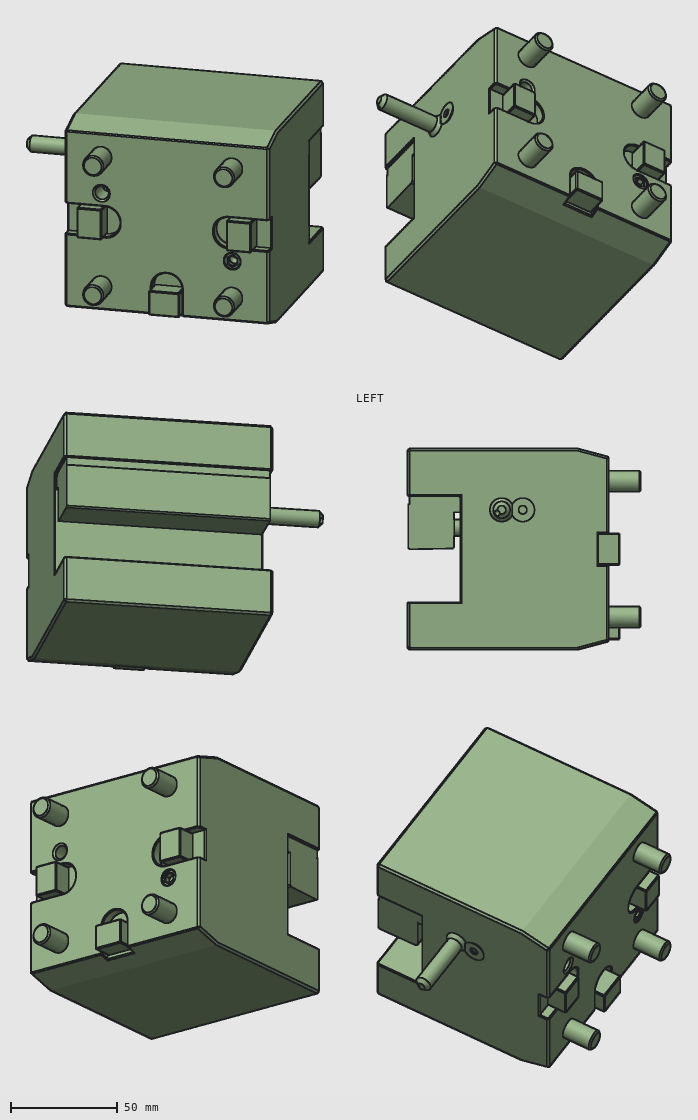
import cadquery as cq
import math

TOTAL_X = 132.3
BODY_X = 100.0
BODY_Y = 95.0
BODY_Z = 95.0
HALF_X = BODY_X / 2
HALF_Z = BODY_Z / 2
EDGE_CHAMFER = 1.0
FINE_CHAMFER = 0.5
SLOPE_DEPTH = 15.0
SLOPE_ANGLE = 15
SLOPE_DROP = SLOPE_DEPTH * math.tan(math.radians(SLOPE_ANGLE))
OVERLAP = 1.3
TOLERANCE = 0.01

SLOT_HEIGHT = 50.0
SLOT_DEPTH = 25.0
SLOT_TOP_Z = SLOT_HEIGHT / 2
SLOT_FLOOR_Y = BODY_Y - SLOT_DEPTH

JAW_SIDE_INSET = 1.2
JAW_LENGTH = BODY_X - 2 * JAW_SIDE_INSET
JAW_REAR_Y = 94.6
JAW_FRONT_Y = 72.9
JAW_REAR_BOTTOM_Z = -0.1
JAW_FRONT_BOTTOM_Z = 0.3
JAW_CHAMFER = 0.8
JAW_STEP = 0.5
JAW_STEP_Z = 21.2
LIP_BOTTOM_Z = 17.3
JAW_PIN_DIAMETER = 8
JAW_PIN_Z = 10.0

PIN_OFFSET = 32.0
PIN_DIAMETER = 10.0
PIN_LENGTH = 15.0
PIN_CHAMFER = 0.8

HOLE_Z = 14.0
MOUTH_DIAMETER = 8.5
HOLE_DIAMETER = 6.6
HOLE_DEPTH = 13.2
SCREW_RECESS = 0.4
SOCKET_ACROSS_FLATS = 4.5
SOCKET_CHAMFER = 0.4
SOCKET_DEPTH = 3.3
DRILL_TIP_ANGLE = 118

KEY_WIDTH = 15.0
KEY_LENGTH = 12.0
KEY_INNER_OFFSET = 30.6
KEY_HEIGHT = 5.0
POCKET_DEPTH = 5.0
POCKET_END_CENTRE = 30.5
KEY_TURNS = (0, 90, 180)

CABLE_Y = 50.5
PLUG_Y = 40.6
MEETING_Y = (CABLE_Y + PLUG_Y) / 2
CABLE_Z = 18.5
CABLE_DIAMETER = 8
CABLE_REACH = TOTAL_X - BODY_X
CABLE_CHAMFER = 2.0
COLLAR_DIAMETER = 11.1
COLLAR_LENGTH = 2.1
PLUG_HEIGHT = 0.9
PLUG_HOLE_DIAMETER = 4
PLUG_HOLE_DEPTH = 1.0
DIMPLE_DIAMETER = 2.6
DIMPLE_DEPTH = 1.6
DIMPLE_OFFSET_Y = 2.2
DIMPLE_OFFSET_Z = -1.6


def front_plane(x, y, z):
    """Workplane facing -Y, its local axes along X and Z."""
    return cq.Workplane("XZ", origin=(x, y, z))


def left_plane(x, y, z):
    """Workplane facing -X."""
    return cq.Workplane(cq.Plane((x, y, z), xDir=(0, -1, 0), normal=(-1, 0, 0)))


def turn_about_y(shape, angle):
    return shape.rotate((0, 0, 0), (0, 1, 0), angle)


def turned_profile(points, x, y, z):
    """Revolve (radius, depth) points about a line along Y; depth runs into the body."""
    return (
        cq.Workplane("XY", origin=(x, y, z))
        .polyline(points)
        .close()
        .revolve(axisStart=(0, 0, 0), axisEnd=(0, 1, 0))
    )


def drill_tip_length(diameter):
    return diameter / 2 / math.tan(math.radians(DRILL_TIP_ANGLE / 2))


def make_body():
    profile = [
        (SLOPE_DEPTH, HALF_Z),
        (BODY_Y, HALF_Z),
        (BODY_Y, -HALF_Z),
        (SLOPE_DEPTH, -HALF_Z),
        (0, -HALF_Z + SLOPE_DROP),
        (0, HALF_Z - SLOPE_DROP),
    ]
    body = cq.Workplane("YZ").polyline(profile).close().extrude(HALF_X, both=True)
    body = body.faces("<Y").edges("|X").chamfer(FINE_CHAMFER)
    body = body.faces(">Y").edges("|X").chamfer(EDGE_CHAMFER)
    return body.faces("<X or >X").chamfer(EDGE_CHAMFER)


def cut_rear_slot(body):
    slot = (
        cq.Workplane("XY", origin=(0, SLOT_FLOOR_Y, 0))
        .box(BODY_X, SLOT_DEPTH, SLOT_HEIGHT, centered=(True, False, True))
    )

    def on_slot_mouth(edge):
        centre = edge.Center()
        in_slot = centre.y > SLOT_FLOOR_Y - TOLERANCE and abs(centre.z) < SLOT_TOP_Z + TOLERANCE
        at_side = abs(centre.x) > HALF_X - EDGE_CHAMFER - TOLERANCE
        at_rear = centre.y > BODY_Y - EDGE_CHAMFER - TOLERANCE
        return in_slot and (at_side or at_rear)

    return body.cut(slot).edges().filter(on_slot_mouth).chamfer(FINE_CHAMFER)


def make_jaw():
    profile = [
        (JAW_REAR_Y, JAW_REAR_BOTTOM_Z),
        (JAW_REAR_Y, JAW_STEP_Z),
        (JAW_REAR_Y - JAW_STEP, JAW_STEP_Z),
        (JAW_REAR_Y - JAW_STEP, SLOT_TOP_Z),
        (SLOT_FLOOR_Y + JAW_CHAMFER, SLOT_TOP_Z),
        (SLOT_FLOOR_Y, SLOT_TOP_Z - JAW_CHAMFER),
        (SLOT_FLOOR_Y, LIP_BOTTOM_Z),
        (JAW_FRONT_Y, LIP_BOTTOM_Z),
        (JAW_FRONT_Y, JAW_FRONT_BOTTOM_Z),
    ]
    jaw = cq.Workplane("YZ").polyline(profile).close().extrude(JAW_LENGTH / 2, both=True)
    jaw = jaw.faces("<Z").edges("|X").chamfer(JAW_CHAMFER)
    gap = JAW_FRONT_Y - SLOT_FLOOR_Y
    pin = front_plane(0, JAW_FRONT_Y, JAW_PIN_Z).circle(JAW_PIN_DIAMETER / 2).extrude(gap)
    return jaw.union(pin)


def make_pins():
    return (
        front_plane(0, 0, 0)
        .rect(2 * PIN_OFFSET, 2 * PIN_OFFSET, forConstruction=True)
        .vertices()
        .circle(PIN_DIAMETER / 2)
        .extrude(PIN_LENGTH)
        .faces("<Y")
        .chamfer(PIN_CHAMFER)
    )


def make_open_hole():
    mouth_radius = MOUTH_DIAMETER / 2
    radius = HOLE_DIAMETER / 2
    profile = [
        (0, 0),
        (mouth_radius, 0),
        (radius, mouth_radius - radius),
        (radius, HOLE_DEPTH),
        (0, HOLE_DEPTH + drill_tip_length(HOLE_DIAMETER)),
    ]
    return turned_profile(profile, -PIN_OFFSET, 0, HOLE_Z)


def socket_outline(y, across_flats):
    """Hexagon on the screw axis with one corner pointing up."""
    quarter_turn = 90
    across_corners = across_flats / math.cos(math.pi / 6)
    return (
        front_plane(PIN_OFFSET, y, -HOLE_Z)
        .transformed(rotate=(0, 0, quarter_turn))
        .polygon(6, across_corners)
    )


def make_screw_recess():
    """Countersink down to the screw face, then the chamfered socket with a drilled bottom."""
    mouth_radius = MOUTH_DIAMETER / 2
    face_radius = mouth_radius - SCREW_RECESS
    mouth = [(0, 0), (mouth_radius, 0), (face_radius, SCREW_RECESS), (0, SCREW_RECESS)]
    recess = turned_profile(mouth, PIN_OFFSET, 0, -HOLE_Z)

    floor_y = SCREW_RECESS + SOCKET_DEPTH
    socket = socket_outline(floor_y, SOCKET_ACROSS_FLATS).extrude(SOCKET_DEPTH)
    wide_mouth = SOCKET_ACROSS_FLATS + 2 * SOCKET_CHAMFER
    socket_mouth = socket_outline(SCREW_RECESS, wide_mouth).extrude(-SOCKET_CHAMFER, taper=45)
    tip = [(0, 0), (SOCKET_ACROSS_FLATS / 2, 0), (0, drill_tip_length(SOCKET_ACROSS_FLATS))]
    socket_tip = turned_profile(tip, PIN_OFFSET, floor_y, -HOLE_Z)
    return recess.union(socket).union(socket_mouth).union(socket_tip)


def cut_pocket(body, angle):
    """Round-ended pocket open to the side that +X turns to."""
    reach = HALF_X + OVERLAP - POCKET_END_CENTRE
    half_width = KEY_WIDTH / 2
    pocket = (
        front_plane(POCKET_END_CENTRE, POCKET_DEPTH, 0)
        .moveTo(0, half_width)
        .lineTo(reach, half_width)
        .lineTo(reach, -half_width)
        .lineTo(0, -half_width)
        .threePointArc((-half_width, 0), (0, half_width))
        .close()
        .extrude(POCKET_DEPTH + OVERLAP)
    )
    pocket = turn_about_y(pocket, angle)
    pocket_solid = pocket.val()
    outward = cq.Vector(math.cos(math.radians(angle)), 0, -math.sin(math.radians(angle)))
    open_end = HALF_Z - SLOPE_DROP - FINE_CHAMFER

    def lies_on_pocket(edge):
        points = edge.positions([0.1, 0.5, 0.9])
        vertices = [cq.Vertex.makeVertex(*point.toTuple()) for point in points]
        return all(pocket_solid.distance(vertex) < TOLERANCE for vertex in vertices)

    def on_pocket_mouth(edge):
        centre = edge.Center()
        at_open_end = centre.dot(outward) > open_end
        at_front = centre.y < TOLERANCE
        return (at_open_end or at_front) and lies_on_pocket(edge)

    return body.cut(pocket).edges().filter(on_pocket_mouth).chamfer(FINE_CHAMFER)


def make_key(angle):
    key = (
        front_plane(KEY_INNER_OFFSET + KEY_LENGTH / 2, POCKET_DEPTH, 0)
        .rect(KEY_LENGTH, KEY_WIDTH)
        .extrude(POCKET_DEPTH + KEY_HEIGHT)
    )
    key = key.edges("|Y").chamfer(FINE_CHAMFER)
    key = key.faces("<Y").chamfer(FINE_CHAMFER)
    return turn_about_y(key, angle)


def left_cone(y, base_diameter, tip_diameter, length):
    """Cone standing on the left face."""
    base = cq.Vector(-HALF_X, y, CABLE_Z)
    cone = cq.Solid.makeCone(base_diameter / 2, tip_diameter / 2, length, base, cq.Vector(-1, 0, 0))
    return cq.Workplane(cone)


def beside_meeting_plane(side):
    """Block around the left face on one side (+1 rear, -1 front) of the meeting plane."""
    size = 2 * COLLAR_DIAMETER
    centre = (-HALF_X, MEETING_Y + side * size / 2, CABLE_Z)
    return cq.Workplane("XY", origin=centre).box(size, size, size)


def make_cable_dimple():
    """Small drilled dimple at the edge of the cable end."""
    radius = DIMPLE_DIAMETER / 2
    inward = cq.Vector(1, 0, 0)
    start = cq.Vector(-HALF_X - CABLE_REACH, CABLE_Y + DIMPLE_OFFSET_Y, CABLE_Z + DIMPLE_OFFSET_Z)
    bottom = start + inward * DIMPLE_DEPTH
    bore = cq.Solid.makeCylinder(radius, DIMPLE_DEPTH, start, inward)
    tip = cq.Solid.makeCone(radius, 0, drill_tip_length(DIMPLE_DIAMETER), bottom, inward)
    return cq.Workplane(bore).union(cq.Workplane(tip))


def make_cable_outlet():
    collar = left_cone(CABLE_Y, COLLAR_DIAMETER, CABLE_DIAMETER, COLLAR_LENGTH)
    cable = (
        left_plane(-HALF_X, CABLE_Y, CABLE_Z)
        .circle(CABLE_DIAMETER / 2)
        .extrude(CABLE_REACH)
        .faces("<X")
        .chamfer(CABLE_CHAMFER)
    )
    return collar.intersect(beside_meeting_plane(1)).union(cable).cut(make_cable_dimple())


def make_plug():
    plug = left_cone(PLUG_Y, COLLAR_DIAMETER - 2 * PLUG_HEIGHT, COLLAR_DIAMETER, PLUG_HEIGHT)
    return plug.intersect(beside_meeting_plane(-1))


def make_plug_hole():
    start = left_plane(-HALF_X - PLUG_HEIGHT, PLUG_Y, CABLE_Z)
    return start.circle(PLUG_HOLE_DIAMETER / 2).extrude(-PLUG_HOLE_DEPTH)


result = cut_rear_slot(make_body())
for turn in KEY_TURNS:
    result = cut_pocket(result, turn).union(make_key(turn))
for added_part in (make_jaw(), make_pins(), make_cable_outlet(), make_plug()):
    result = result.union(added_part)
for hole in (make_open_hole(), make_screw_recess(), make_plug_hole()):
    result = result.cut(hole)